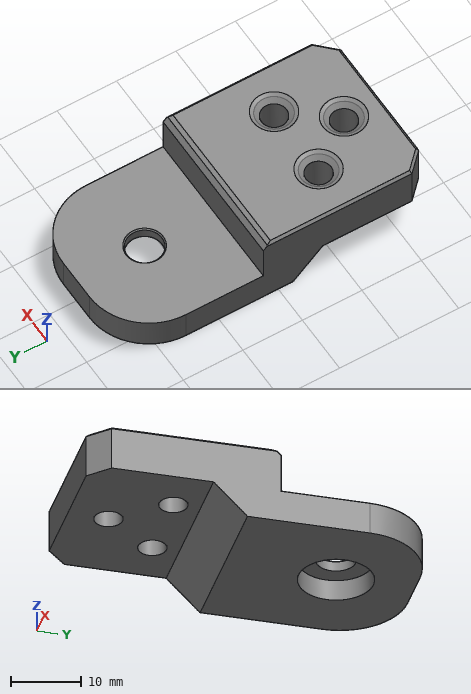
import cadquery as cq

WIDTH = 27.0
LENGTH = 51.0
HEIGHT = 12.0
BACK_Y = LENGTH / 2
FRONT_Y = -LENGTH / 2

TONGUE_THICKNESS = 5.0
PAD_LENGTH = 28.0
RAMP_TOP_Y = FRONT_Y + 18.0
RAMP_BOTTOM_Y = RAMP_TOP_Y + TONGUE_THICKNESS
STEP_Y = FRONT_Y + PAD_LENGTH
TONGUE_RADIUS = 10.0
PAD_CORNER_CHAMFER = 3.0
STEP_CHAMFER = 1.0
TOP_EDGE_CHAMFER = 0.4

PIVOT_Y = BACK_Y - 11.5
PIVOT_DIAMETER = 5.8
PIVOT_CHAMFER = 0.2
COUNTERBORE_DIAMETER = 11.0
PIVOT_WALL = 1.75
COUNTERBORE_DEPTH = TONGUE_THICKNESS - PIVOT_WALL

SCREW_DIAMETER = 4.2
SINK_MIDDLE_DIAMETER = 5.8
SINK_OUTER_DIAMETER = 7.05
SINK_MIDDLE_DEPTH = 0.3
SINK_DEPTH = 0.95
SCREW_PAIR_SPACING = 12.0
SCREW_PAIR_Y = FRONT_Y + 14.0
SCREW_FRONT_Y = FRONT_Y + 6.0
SCREW_CENTERS = [
    (-SCREW_PAIR_SPACING / 2, SCREW_PAIR_Y),
    (SCREW_PAIR_SPACING / 2, SCREW_PAIR_Y),
    (0, SCREW_FRONT_Y),
]


def stepped_body():
    """Extrude the side profile across the width, then trim its corners and edges."""
    profile = [
        (FRONT_Y, TONGUE_THICKNESS),
        (RAMP_TOP_Y, TONGUE_THICKNESS),
        (RAMP_BOTTOM_Y, 0),
        (BACK_Y, 0),
        (BACK_Y, TONGUE_THICKNESS),
        (STEP_Y, TONGUE_THICKNESS),
        (STEP_Y, HEIGHT - STEP_CHAMFER),
        (STEP_Y - STEP_CHAMFER, HEIGHT),
        (FRONT_Y, HEIGHT),
    ]
    body = cq.Workplane("YZ").polyline(profile).close().extrude(WIDTH / 2, both=True)
    body = body.faces(">Y").edges("|Z").fillet(TONGUE_RADIUS)
    body = body.faces("<Y").edges("|Z").chamfer(PAD_CORNER_CHAMFER)
    return body.faces(">Z").edges().chamfer(TOP_EDGE_CHAMFER)


def pivot_cutter():
    """Bore, rim chamfer and lower counterbore, revolved about the pivot axis."""
    bore = PIVOT_DIAMETER / 2
    counterbore = COUNTERBORE_DIAMETER / 2
    half_section = [
        (0, 0),
        (counterbore, 0),
        (counterbore, COUNTERBORE_DEPTH),
        (bore, COUNTERBORE_DEPTH),
        (bore, TONGUE_THICKNESS - PIVOT_CHAMFER),
        (bore + PIVOT_CHAMFER, TONGUE_THICKNESS),
        (0, TONGUE_THICKNESS),
    ]
    cutter = cq.Workplane("XZ").polyline(half_section).close().revolve(360, (0, 0), (0, 1))
    return cutter.translate((0, PIVOT_Y, 0))


def screw_cutter(x, y):
    """Through hole with a shallow outer cone leading into a steeper inner one."""
    half_section = [
        (0, 0),
        (SCREW_DIAMETER / 2, 0),
        (SCREW_DIAMETER / 2, HEIGHT - SINK_DEPTH),
        (SINK_MIDDLE_DIAMETER / 2, HEIGHT - SINK_MIDDLE_DEPTH),
        (SINK_OUTER_DIAMETER / 2, HEIGHT),
        (0, HEIGHT),
    ]
    cutter = cq.Workplane("XZ").polyline(half_section).close().revolve(360, (0, 0), (0, 1))
    return cutter.translate((x, y, 0))


result = stepped_body().cut(pivot_cutter())
for screw_x, screw_y in SCREW_CENTERS:
    result = result.cut(screw_cutter(screw_x, screw_y))